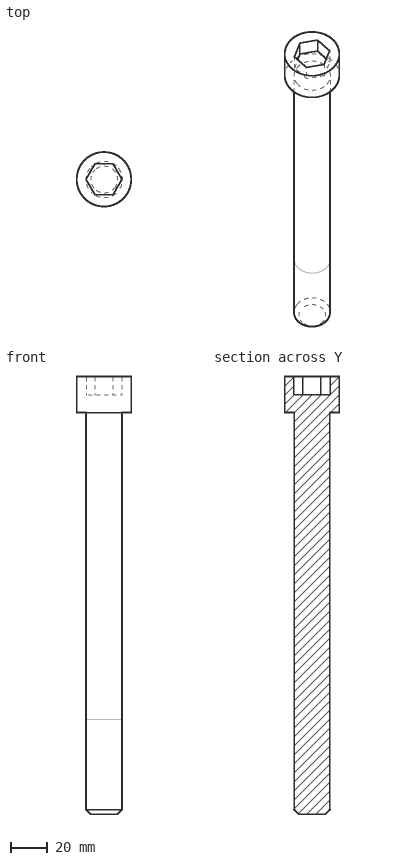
import cadquery as cq
import math

total_length = 240.0
head_diameter = 30.0
head_height = 20.0
shank_diameter = 20.0
thread_length = 52.0
tip_chamfer = 2.6
socket_across_flats = 17.0
socket_depth = 10.0

shank_length = total_length - head_height
socket_across_corners = socket_across_flats / math.cos(math.pi / 6)


def make_threaded_end():
    """Plain cylinder standing for the thread, with a chamfered tip."""
    end = cq.Workplane("XY").circle(shank_diameter / 2).extrude(thread_length)
    return end.faces("<Z").chamfer(tip_chamfer)


def make_plain_shank():
    return (
        cq.Workplane("XY")
        .workplane(offset=thread_length)
        .circle(shank_diameter / 2)
        .extrude(shank_length - thread_length)
    )


def make_head():
    """Cylindrical head with a blind hexagon socket, two corners on the X axis."""
    head = (
        cq.Workplane("XY")
        .workplane(offset=shank_length)
        .circle(head_diameter / 2)
        .extrude(head_height)
    )
    socket = (
        cq.Workplane("XY")
        .workplane(offset=total_length - socket_depth)
        .polygon(6, socket_across_corners)
        .extrude(socket_depth)
    )
    return head.cut(socket)


result = make_threaded_end().union(make_plain_shank(), clean=False).union(make_head(), clean=False)